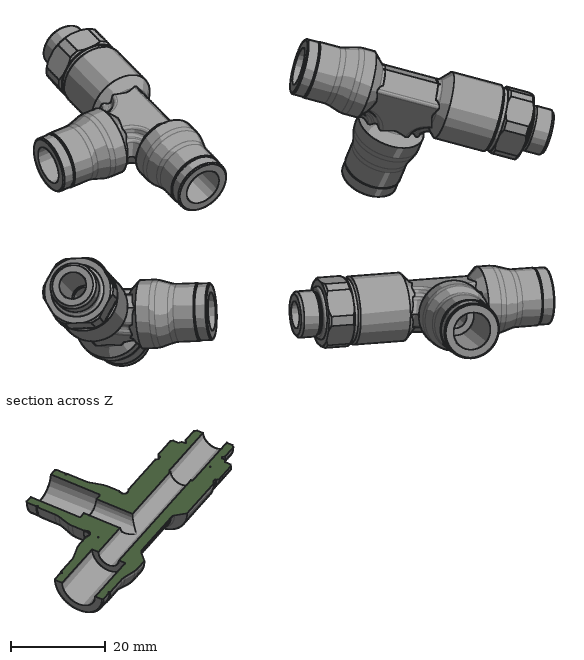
import cadquery as cq
import math


STUD_REACH = 31.9
RUN_REACH = 23.6
BRANCH_REACH = 23.7

BODY_RADIUS = 7.25
COLLAR_START = 8.65
HUB_RADIUS = 4.95
HUB_BLEND_RADIUS = 1.1
HALF_CONE = math.radians(45)

COLLAR_LENGTH = 2.7
BLEND_LENGTH = 1.15
TAPER_LENGTH = 2.65
TAPER_ANGLE = math.radians(15)
SLEEVE_RADIUS = 6.15
RING_LENGTH = 2.55
RING_RADIUS = 6.05
RING_CHAMFER = 0.3
GROOVE_WIDTH = 0.3
GROOVE_RADIUS = 5.75
TUBE_RADIUS = 4.05
TUBE_DEPTH = 12.2

STUD_RADIUS = 4.95
STUD_CHAMFER = 0.55
STUD_END = -27.6
NECK_RADIUS = 4.5
UNDERCUT_LENGTH = 0.4
SEAL_START = -27.25
SEAL_RADIUS = 5.65
SEAL_ROUND = 0.6
HEX_START = -26.6
HEX_END = -20.8
HEX_FLATS = 14.0
HEX_CORNER_RADIUS = 7.55
HEX_CHAMFER = 0.45
COLLAR_NECK_RADIUS = 6.8
COLLAR_NECK_END = -20.05
BARREL_START = -19.6

BORE_RADIUS = 2.5
STUD_BORE_RADIUS = 2.9
STUD_BORE_DEPTH = 13.9

WEB_HALF_HEIGHT = 5.0
WEB_BACK = 5.05
WEB_WALL_ANGLE = math.radians(65)
WEB_EDGE_ROUND = 0.85
CORNER_CENTRE = 7.75
CORNER_TOP_RADIUS = 5.3
LEDGE_HALF_HEIGHT = 3.35
LEDGE_FOOT_RADIUS = 0.95
LEDGE_WIDTH = 0.45
LEDGE_EDGE_ROUND = 0.85


def revolve_about_x(profile):
    """Full turn of a closed (x, radius) profile about the X axis."""
    return profile.close().revolve(360, (0, 0, 0), (1, 0, 0))


def cylinder_x(x_start, x_end, radius):
    return cq.Workplane("YZ", origin=(x_start, 0, 0)).circle(radius).extrude(x_end - x_start)


def arc_mid(centre, radius, angle):
    return (centre[0] + radius * math.cos(angle), centre[1] + radius * math.sin(angle))


def hub_cone():
    """Hub and cone leading out along +X to the body radius, with a concave blend between them."""
    blend_drop = HUB_BLEND_RADIUS * (1 - math.cos(HALF_CONE))
    blend_run = HUB_BLEND_RADIUS * math.sin(HALF_CONE)
    cone_radius = HUB_RADIUS + blend_drop
    cone_start = COLLAR_START - (BODY_RADIUS - cone_radius) / math.tan(HALF_CONE)
    hub_start = cone_start - blend_run
    blend_centre = (hub_start, HUB_RADIUS + HUB_BLEND_RADIUS)
    blend_mid = arc_mid(blend_centre, HUB_BLEND_RADIUS, (HALF_CONE - math.pi) / 2)
    profile = (
        cq.Workplane("XY")
        .moveTo(hub_start, 0)
        .lineTo(hub_start, HUB_RADIUS)
        .threePointArc(blend_mid, (cone_start, cone_radius))
        .lineTo(COLLAR_START, BODY_RADIUS)
        .lineTo(COLLAR_START, 0)
    )
    return revolve_about_x(profile)


def socket(reach):
    """Tube socket along +X, from the collar to the release ring."""
    ring_start = reach - RING_LENGTH
    groove_start = ring_start - GROOVE_WIDTH
    taper_start = COLLAR_START + COLLAR_LENGTH + BLEND_LENGTH + (reach - RUN_REACH)
    taper_end = taper_start + TAPER_LENGTH
    collar_end = taper_start - BLEND_LENGTH
    sleeve_start = taper_end + BLEND_LENGTH
    blend_drop = BLEND_LENGTH * math.tan(TAPER_ANGLE / 2)
    taper_end_radius = SLEEVE_RADIUS + blend_drop
    profile = (
        cq.Workplane("XY")
        .moveTo(COLLAR_START, 0)
        .lineTo(COLLAR_START, BODY_RADIUS)
        .lineTo(collar_end, BODY_RADIUS)
        .tangentArcPoint((taper_start, BODY_RADIUS - blend_drop), relative=False)
        .lineTo(taper_end, taper_end_radius)
        .tangentArcPoint((sleeve_start, SLEEVE_RADIUS), relative=False)
        .lineTo(groove_start, SLEEVE_RADIUS)
        .lineTo(groove_start, GROOVE_RADIUS)
        .lineTo(ring_start, GROOVE_RADIUS)
        .lineTo(ring_start, RING_RADIUS)
        .lineTo(reach - RING_CHAMFER, RING_RADIUS)
        .lineTo(reach, RING_RADIUS - RING_CHAMFER)
        .lineTo(reach, 0)
    )
    return revolve_about_x(profile)


def socket_bores(reach):
    """Tube pocket and the narrower flow bore behind it, along +X."""
    pocket = cylinder_x(reach - TUBE_DEPTH, reach, TUBE_RADIUS)
    return pocket.union(cylinder_x(0, reach, BORE_RADIUS))


def to_branch(shape):
    return shape.rotate((0, 0, 0), (0, 0, 1), -90)


def stud():
    """Spigot, undercut, rounded seal and the turned barrel behind the hexagon."""
    tip = -STUD_REACH
    profile = (
        cq.Workplane("XY")
        .moveTo(tip, 0)
        .lineTo(tip, STUD_RADIUS - STUD_CHAMFER)
        .lineTo(tip + STUD_CHAMFER, STUD_RADIUS)
        .lineTo(STUD_END - UNDERCUT_LENGTH, STUD_RADIUS)
        .lineTo(STUD_END, NECK_RADIUS)
        .lineTo(HEX_START, NECK_RADIUS)
        .lineTo(HEX_START, COLLAR_NECK_RADIUS)
        .lineTo(COLLAR_NECK_END, COLLAR_NECK_RADIUS)
        .lineTo(BARREL_START, BODY_RADIUS)
        .lineTo(-COLLAR_START, BODY_RADIUS)
        .lineTo(-COLLAR_START, 0)
    )
    seal = cylinder_x(SEAL_START, HEX_START, SEAL_RADIUS).faces("<X").edges().fillet(SEAL_ROUND)
    return revolve_about_x(profile).union(seal)


def hexagon():
    """Hexagon with flats on +Z and -Z, its corners turned round and chamfered at both ends."""
    length = HEX_END - HEX_START
    across_corners = HEX_FLATS / math.cos(math.pi / 6)
    prism = cq.Workplane("YZ", origin=(HEX_START, 0, 0)).polygon(6, across_corners).extrude(length)
    turned = (
        cylinder_x(HEX_START, HEX_END, HEX_CORNER_RADIUS)
        .faces("<X or >X")
        .edges()
        .chamfer(HEX_CHAMFER)
    )
    return prism.intersect(turned)


def web_blank():
    """Web bar along X: flat top and bottom, and a back of two steep walls meeting at mid height."""
    top_back = WEB_BACK - WEB_HALF_HEIGHT / math.tan(WEB_WALL_ANGLE)
    section = (
        cq.Workplane("YZ", origin=(-COLLAR_START, 0, 0))
        .moveTo(-COLLAR_START, -WEB_HALF_HEIGHT)
        .lineTo(top_back, -WEB_HALF_HEIGHT)
        .lineTo(WEB_BACK, 0)
        .lineTo(top_back, WEB_HALF_HEIGHT)
        .lineTo(-COLLAR_START, WEB_HALF_HEIGHT)
        .close()
        .extrude(2 * COLLAR_START)
    )
    back_rims = cq.selectors.BoxSelector(
        (-COLLAR_START, top_back - WEB_EDGE_ROUND, -2 * WEB_HALF_HEIGHT),
        (COLLAR_START, top_back + WEB_EDGE_ROUND, 2 * WEB_HALF_HEIGHT),
    )
    rounded = section.edges("|X").edges(back_rims).fillet(WEB_EDGE_ROUND)
    front_corners = rounded.edges("|Z and <Y")
    return front_corners.chamfer(2 * (COLLAR_START - CORNER_CENTRE))


def corner_cutter():
    """Revolved cutter for an inner corner: rounded rim, steep wall, ledge and lower wall."""
    tilt = WEB_WALL_ANGLE
    rim_r = CORNER_TOP_RADIUS
    rim_end = (
        rim_r - WEB_EDGE_ROUND * math.sin(tilt),
        WEB_HALF_HEIGHT - WEB_EDGE_ROUND * (1 - math.cos(tilt)),
    )
    rim_mid = arc_mid((rim_r, WEB_HALF_HEIGHT - WEB_EDGE_ROUND), WEB_EDGE_ROUND, (math.pi + tilt) / 2)
    foot_z = LEDGE_HALF_HEIGHT + LEDGE_FOOT_RADIUS * (1 - math.cos(tilt))
    foot_start = (rim_end[0] - (rim_end[1] - foot_z) / math.tan(tilt), foot_z)
    foot_end = (foot_start[0] - LEDGE_FOOT_RADIUS * math.sin(tilt), LEDGE_HALF_HEIGHT)
    foot_centre = (foot_end[0], LEDGE_HALF_HEIGHT + LEDGE_FOOT_RADIUS)
    foot_mid = arc_mid(foot_centre, LEDGE_FOOT_RADIUS, (tilt - math.pi) / 2)
    edge_r = foot_end[0] - LEDGE_WIDTH
    edge_centre = (edge_r, LEDGE_HALF_HEIGHT - LEDGE_EDGE_ROUND)
    edge_mid = arc_mid(edge_centre, LEDGE_EDGE_ROUND, (math.pi + tilt) / 2)
    edge_end = (
        edge_r - LEDGE_EDGE_ROUND * math.sin(tilt),
        LEDGE_HALF_HEIGHT - LEDGE_EDGE_ROUND * (1 - math.cos(tilt)),
    )
    waist_radius = edge_end[0] - edge_end[1] / math.tan(tilt)
    upper_half = (
        cq.Workplane("XZ")
        .moveTo(0, 0)
        .lineTo(waist_radius, 0)
        .lineTo(*edge_end)
        .threePointArc(edge_mid, (edge_r, LEDGE_HALF_HEIGHT))
        .lineTo(*foot_end)
        .threePointArc(foot_mid, foot_start)
        .lineTo(*rim_end)
        .threePointArc(rim_mid, (rim_r, WEB_HALF_HEIGHT))
        .lineTo(0, WEB_HALF_HEIGHT)
        .close()
        .revolve(360, (0, 0, 0), (0, 1, 0))
    )
    return upper_half.union(upper_half.mirror("XY"))


def web():
    body = web_blank()
    for side in (-1, 1):
        body = body.cut(corner_cutter().translate((side * CORNER_CENTRE, -CORNER_CENTRE, 0)))
    return body


def tee():
    body = web().union(stud()).union(hexagon())
    body = body.union(hub_cone()).union(hub_cone().mirror("YZ")).union(to_branch(hub_cone()))
    body = body.union(socket(RUN_REACH)).union(to_branch(socket(BRANCH_REACH)))
    body = body.cut(socket_bores(RUN_REACH)).cut(to_branch(socket_bores(BRANCH_REACH)))
    body = body.cut(cylinder_x(-STUD_REACH, 0, BORE_RADIUS))
    return body.cut(cylinder_x(-STUD_REACH, STUD_BORE_DEPTH - STUD_REACH, STUD_BORE_RADIUS))


result = tee()